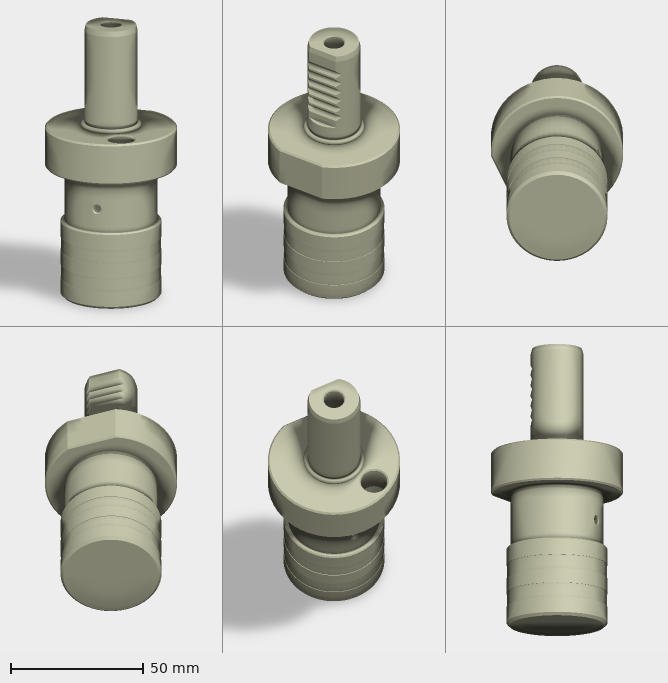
import cadquery as cq
import math

TOTAL_HEIGHT = 107.0
SLEEVE_TOP = 30.1
FLANGE_BOTTOM = 51.0
FLANGE_TOP = 67.0
SHANK_BOTTOM = 69.5

SLEEVE_RADIUS = 38.2 / 2
SLEEVE_TOP_CHAMFER = 0.5
SLEEVE_BOTTOM_CHAMFER = 1.1
GRIP_GROOVE_DEPTH = 0.2
GRIP_GROOVE_WIDTH = 5.5
GRIP_GROOVE_BOTTOMS = (7.1, 18.0)

BODY_RADIUS = 17.5
RELIEF_DEPTH = 0.4
RELIEF_HEIGHT = 1.7
RELIEF_TAPER = 0.6
RELIEF_FILLET = 0.4

SIDE_HOLE_HEIGHT = 39.0
SIDE_HOLE_RADIUS = 1.5
SIDE_HOLE_CHAMFER = 0.4
SIDE_HOLE_DEPTH = 1.1
SIDE_PILOT_RADIUS = 1.1
SIDE_PILOT_DEPTH = 1.6

FLANGE_RADIUS = 50.0 / 2
FLANGE_FLAT_Y = 48.0 - FLANGE_RADIUS
FLANGE_CHAMFER = 0.6

FLANGE_HOLE_RADIUS = 5.0
FLANGE_HOLE_CHAMFER = 0.5
FLANGE_HOLE_DEPTH = 10.7
FLANGE_HOLE_CIRCLE = 18.0
FLANGE_HOLE_ANGLE = -60.0

DRILL_POINT_ANGLE = 118.0

SHANK_RADIUS = 20.0 / 2
SHANK_CHAMFER_INSET = 0.5
SHANK_CHAMFER_HEIGHT = 2.0
SHANK_FLAT_Y = 8.0
SHANK_FLAT_BOTTOM = 74.2
NECK_RADIUS = 9.5
NECK_TAPER = 1.3

NOTCH_COUNT = 6
NOTCH_SPAN = 20.0
NOTCH_PITCH = NOTCH_SPAN / (NOTCH_COUNT - 1)
NOTCH_DEPTH = 1.4
NOTCH_FLOOR = 0.4
LOWEST_NOTCH_HEIGHT = 78.9

BORE_RADIUS = 3.9
BORE_CHAMFER = 0.4
BORE_DEPTH = 16.0

RING_SECTION_RADIUS = 0.98
RING_CENTER_RADIUS = NECK_RADIUS + RING_SECTION_RADIUS
RING_CENTER_HEIGHT = 67.6

TOOL_SIZE = 64.2


def axial_hole(radius, chamfer, depth, pointed):
    """Hole cutter that opens at the origin and runs down along -Z."""
    tip_height = radius / math.tan(math.radians(DRILL_POINT_ANGLE / 2)) if pointed else 0.0
    outline = cq.Workplane("XZ").lineTo(radius + chamfer, 0)
    if chamfer:
        outline = outline.lineTo(radius, -chamfer)
    return outline.lineTo(radius, -depth).lineTo(0, -depth - tip_height).close().revolve(360, (0, 0), (0, 1))


def make_sleeve_and_body():
    """Turned lower part: gripping sleeve, body and the relief under the flange."""
    relief_radius = BODY_RADIUS - RELIEF_DEPTH
    relief_bottom = FLANGE_BOTTOM - RELIEF_HEIGHT
    fillet_middle = RELIEF_FILLET * (1 - math.sqrt(0.5))
    turned = (
        cq.Workplane("XZ")
        .lineTo(SLEEVE_RADIUS - SLEEVE_BOTTOM_CHAMFER, 0)
        .lineTo(SLEEVE_RADIUS, SLEEVE_BOTTOM_CHAMFER)
        .lineTo(SLEEVE_RADIUS, SLEEVE_TOP - SLEEVE_TOP_CHAMFER)
        .lineTo(SLEEVE_RADIUS - SLEEVE_TOP_CHAMFER, SLEEVE_TOP)
        .lineTo(BODY_RADIUS, SLEEVE_TOP)
        .lineTo(BODY_RADIUS, relief_bottom)
        .lineTo(relief_radius, relief_bottom + RELIEF_TAPER)
        .lineTo(relief_radius, FLANGE_BOTTOM - RELIEF_FILLET)
        .threePointArc(
            (relief_radius + fillet_middle, FLANGE_BOTTOM - fillet_middle),
            (relief_radius + RELIEF_FILLET, FLANGE_BOTTOM),
        )
        .lineTo(0, FLANGE_BOTTOM)
        .close()
        .revolve(360, (0, 0), (0, 1))
    )
    for groove_bottom in GRIP_GROOVE_BOTTOMS:
        groove = (
            cq.Workplane("XY", origin=(0, 0, groove_bottom))
            .circle(FLANGE_RADIUS)
            .circle(SLEEVE_RADIUS - GRIP_GROOVE_DEPTH)
            .extrude(GRIP_GROOVE_WIDTH)
        )
        turned = turned.cut(groove)
    return turned


def make_side_hole():
    """Cutter for the hole opening toward -Y: a bore with a narrower flat-bottomed pilot."""
    bore = axial_hole(SIDE_HOLE_RADIUS, SIDE_HOLE_CHAMFER, SIDE_HOLE_DEPTH, pointed=False)
    pilot = axial_hole(SIDE_PILOT_RADIUS, 0, SIDE_PILOT_DEPTH, pointed=False)
    hole = bore.union(pilot)
    return hole.rotate((0, 0, 0), (1, 0, 0), 90).translate((0, -BODY_RADIUS, SIDE_HOLE_HEIGHT))


def half_space_beyond(flat_y, bottom):
    """Block that fills everything on the +Y side of a flat, above a given height."""
    return cq.Workplane("XY", origin=(0, flat_y, bottom)).box(
        TOOL_SIZE, TOOL_SIZE, TOOL_SIZE, centered=(True, False, False)
    )


def make_flange():
    """Disc with one flat side, chamfered rims and a blind hole in its top face."""
    disc = (
        cq.Workplane("XY", origin=(0, 0, FLANGE_BOTTOM))
        .circle(FLANGE_RADIUS)
        .extrude(FLANGE_TOP - FLANGE_BOTTOM)
        .cut(half_space_beyond(FLANGE_FLAT_Y, FLANGE_BOTTOM))
        .faces("<Z or >Z")
        .edges()
        .chamfer(FLANGE_CHAMFER)
    )
    angle = math.radians(FLANGE_HOLE_ANGLE)
    hole_x = FLANGE_HOLE_CIRCLE * math.cos(angle)
    hole_y = FLANGE_HOLE_CIRCLE * math.sin(angle)
    hole = axial_hole(FLANGE_HOLE_RADIUS, FLANGE_HOLE_CHAMFER, FLANGE_HOLE_DEPTH, pointed=True)
    return disc.cut(hole.translate((hole_x, hole_y, FLANGE_TOP)))


def make_notch(height):
    """Cutter for one 90-degree notch across the shank flat."""
    half_floor = NOTCH_FLOOR / 2
    half_mouth = half_floor + NOTCH_DEPTH
    floor_y = SHANK_FLAT_Y - NOTCH_DEPTH
    return (
        cq.Workplane("YZ")
        .moveTo(floor_y, height - half_floor)
        .lineTo(SHANK_FLAT_Y, height - half_mouth)
        .lineTo(SHANK_FLAT_Y, height + half_mouth)
        .lineTo(floor_y, height + half_floor)
        .close()
        .extrude(TOOL_SIZE / 2, both=True)
    )


def make_shank():
    """Neck and shank with a tapered top, a toothed flat and a top bore."""
    neck = (
        cq.Workplane("XZ")
        .moveTo(0, FLANGE_TOP)
        .lineTo(NECK_RADIUS, FLANGE_TOP)
        .lineTo(NECK_RADIUS, SHANK_BOTTOM - NECK_TAPER)
        .lineTo(SHANK_RADIUS, SHANK_BOTTOM)
        .lineTo(0, SHANK_BOTTOM)
        .close()
        .revolve(360, (0, 0), (0, 1))
    )
    taper_angle = math.degrees(math.atan(SHANK_CHAMFER_INSET / SHANK_CHAMFER_HEIGHT))
    shank = (
        cq.Workplane("XY", origin=(0, 0, SHANK_BOTTOM))
        .circle(SHANK_RADIUS)
        .extrude(TOTAL_HEIGHT - SHANK_CHAMFER_HEIGHT - SHANK_BOTTOM)
        .cut(half_space_beyond(SHANK_FLAT_Y, SHANK_FLAT_BOTTOM))
        .faces(">Z")
        .wires()
        .toPending()
        .extrude(SHANK_CHAMFER_HEIGHT, taper=taper_angle)
    )
    for index in range(NOTCH_COUNT):
        shank = shank.cut(make_notch(LOWEST_NOTCH_HEIGHT + index * NOTCH_PITCH))
    bore = axial_hole(BORE_RADIUS, BORE_CHAMFER, BORE_DEPTH, pointed=False)
    return shank.union(neck).cut(bore.translate((0, 0, TOTAL_HEIGHT)))


def make_o_ring():
    """Round-section ring resting around the neck."""
    section = cq.Workplane("XZ").center(RING_CENTER_RADIUS, RING_CENTER_HEIGHT).circle(RING_SECTION_RADIUS)
    return section.revolve(360, (-RING_CENTER_RADIUS, 0), (-RING_CENTER_RADIUS, 1))


o_ring = make_o_ring()

holder = (
    make_sleeve_and_body()
    .union(make_flange())
    .union(make_shank())
    .cut(make_side_hole())
    .cut(o_ring)
)

result = cq.Compound.makeCompound([holder.val(), o_ring.val()])